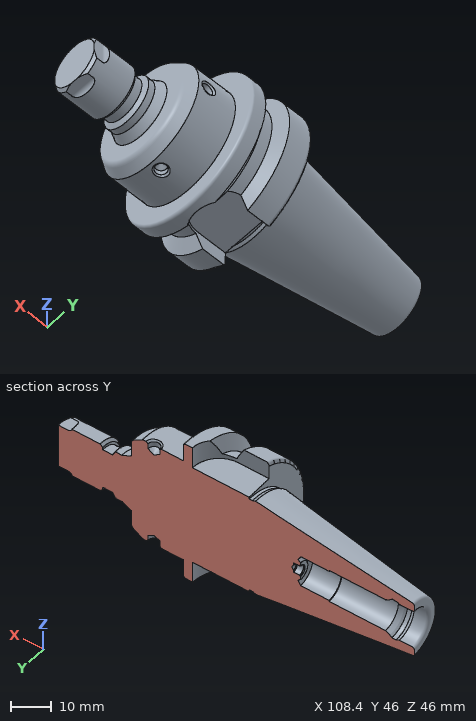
import cadquery as cq
import math

total_length = 108.4

taper_ratio = 7 / 24
taper_end_x = 48.3
gauge_diameter = 32.0
gauge_radius = gauge_diameter / 2
taper_small_radius = gauge_radius - taper_end_x * taper_ratio / 2
small_end_fillet = 1.0

relief_x = 49.3
relief_radius = 15.6

flange_start_x = 50.3
flange_end_x = 70.5
flange_radius = 23.0
flange_fillet = 1.0
groove_floor_radius = 19.1
groove_floor_start_x = 60.2
groove_floor_end_x = 63.6
groove_wall_angle = 30.0
groove_wall_run = (flange_radius - groove_floor_radius) * math.tan(math.radians(groove_wall_angle))

slot_width = 16.0
slot_end_x = 67.5
slot_floor_spacing = 32.4
slot_count = 2
slot_floor_height = slot_floor_spacing / 2

body_radius = 17.0
body_chamfer_x = 82.7
body_round_x = 85.3
body_round_radius = 15.4
body_end_x = 86.3
body_slope = math.atan2(body_radius - body_round_radius, body_round_x - body_chamfer_x)
body_corner_round = (body_end_x - body_round_x) / (1 - math.sin(body_slope))
body_face_radius = body_round_radius - body_corner_round * math.cos(body_slope)

nut_start_x = 94.8
nut_radius = 8.0
nut_back_chamfer = 0.8
nut_front_chamfer = 0.9
flat_distance = 7.0
flat_tangent_x = 105.6
flat_runout_radius = 1.5
flat_count = 4

cone_large_radius = 9.4
collar_start_x = 89.0
collar_end_x = 91.1
collar_radius = nut_radius
neck_start_x = 91.9
neck_radius = 6.5

screw_hole_x = 79.3
screw_hole_radius = 1.7
screw_mouth_radius = 2.3
screw_hole_depth = 2.2
screw_hole_count = 4
drill_point_angle = 118.0

mouth_diameter = 12.0
mouth_radius = mouth_diameter / 2
mouth_fillet = 1.0
relief_groove_radius = 6.5
relief_groove_start_x = 4.7
relief_groove_slope_end_x = 5.6
relief_groove_floor_end_x = 6.9
relief_groove_end_x = 7.5
thread_start_x = 8.9
thread_radius = 5.2
thread_end_x = 26.0
pilot_radius = 4.9
pilot_end_x = 34.7

plug_diameter = 7.3
plug_radius = plug_diameter / 2
plug_face_diameter = 5.7
plug_face_radius = plug_face_diameter / 2
socket_mouth_radius = 1.7
socket_mouth_depth = 0.3
socket_radius = 1.5
socket_depth = 2.2
socket_tip_radius = 0.9


def drill_point_height(radius):
    return radius / math.tan(math.radians(drill_point_angle / 2))


def turned_body():
    profile = (
        cq.Workplane("XY")
        .lineTo(0, taper_small_radius)
        .lineTo(taper_end_x, gauge_radius)
        .lineTo(relief_x, relief_radius)
        .lineTo(flange_start_x, relief_radius)
        .lineTo(flange_start_x, flange_radius)
        .lineTo(groove_floor_start_x - groove_wall_run, flange_radius)
        .lineTo(groove_floor_start_x, groove_floor_radius)
        .lineTo(groove_floor_end_x, groove_floor_radius)
        .lineTo(groove_floor_end_x + groove_wall_run, flange_radius)
        .lineTo(flange_end_x, flange_radius)
        .lineTo(flange_end_x, body_radius)
        .lineTo(body_chamfer_x, body_radius)
        .lineTo(body_round_x, body_round_radius)
        .tangentArcPoint((body_end_x, body_face_radius), relative=False)
        .lineTo(body_end_x, cone_large_radius)
        .lineTo(collar_start_x, collar_radius)
        .lineTo(collar_end_x, collar_radius)
        .lineTo(neck_start_x, neck_radius)
        .lineTo(nut_start_x, neck_radius)
        .lineTo(nut_start_x, nut_radius - nut_back_chamfer)
        .lineTo(nut_start_x + nut_back_chamfer, nut_radius)
        .lineTo(total_length - nut_front_chamfer, nut_radius)
        .lineTo(total_length, nut_radius - nut_front_chamfer)
        .lineTo(total_length, 0)
        .close()
    )
    body = profile.revolve(360, (0, 0, 0), (1, 0, 0))
    body = fillet_rim(body, 0, taper_small_radius, small_end_fillet)
    body = fillet_rim(body, flange_start_x, flange_radius, flange_fillet)
    return fillet_rim(body, flange_end_x, flange_radius, flange_fillet)


def fillet_rim(body, x, radius, fillet_radius):
    """Round the circular edge of the given radius that lies at x."""
    tolerance = 0.01
    rim = body.edges("%CIRCLE").filter(
        lambda edge: abs(edge.Center().x - x) < tolerance and abs(edge.radius() - radius) < tolerance
    )
    return rim.fillet(fillet_radius)


def around_axis(shape, count):
    """Copies of a shape spaced evenly about the X axis."""
    copies = cq.Workplane("XY")
    for index in range(count):
        copies = copies.add(shape.rotate((0, 0, 0), (1, 0, 0), index * 360 / count))
    return copies.combine()


def drive_slots():
    reach = flange_radius - slot_floor_height
    arc_center_x = slot_end_x - slot_width / 2
    slot = (
        cq.Workplane("XY", origin=(0, 0, slot_floor_height))
        .moveTo(flange_start_x, -slot_width / 2)
        .lineTo(arc_center_x, -slot_width / 2)
        .threePointArc((slot_end_x, 0), (arc_center_x, slot_width / 2))
        .lineTo(flange_start_x, slot_width / 2)
        .close()
        .extrude(reach)
    )
    return around_axis(slot, slot_count)


def wrench_flats():
    """Side cuts on the nut, ending in a cutter radius towards the neck."""
    arc_top = flat_distance + flat_runout_radius
    arc_middle = flat_runout_radius * math.sqrt(0.5)
    cut = (
        cq.Workplane("XZ")
        .moveTo(total_length, flat_distance)
        .lineTo(flat_tangent_x, flat_distance)
        .threePointArc(
            (flat_tangent_x - arc_middle, arc_top - arc_middle),
            (flat_tangent_x - flat_runout_radius, arc_top),
        )
        .lineTo(total_length, arc_top)
        .close()
        .extrude(nut_radius, both=True)
    )
    return around_axis(cut, flat_count)


def screw_holes():
    bottom = body_radius - screw_hole_depth
    mouth_drop = screw_mouth_radius - screw_hole_radius
    hole = (
        cq.Workplane("XZ", origin=(screw_hole_x, 0, 0))
        .moveTo(0, bottom - drill_point_height(screw_hole_radius))
        .lineTo(screw_hole_radius, bottom)
        .lineTo(screw_hole_radius, body_radius - mouth_drop)
        .lineTo(screw_mouth_radius, body_radius)
        .lineTo(0, body_radius)
        .close()
        .revolve(360, (0, 0, 0), (0, 1, 0))
    )
    return around_axis(hole, screw_hole_count)


def stepped_bore():
    plug_base_x = pilot_end_x + drill_point_height(pilot_radius - plug_radius)
    plug_face_x = plug_base_x - (plug_radius - plug_face_radius)
    socket_step_x = plug_face_x + socket_mouth_depth
    socket_floor_x = plug_face_x + socket_depth
    fillet_middle = mouth_fillet * (1 - math.sqrt(0.5))
    profile = (
        cq.Workplane("XY")
        .lineTo(0, mouth_radius + mouth_fillet)
        .threePointArc((fillet_middle, mouth_radius + fillet_middle), (mouth_fillet, mouth_radius))
        .lineTo(relief_groove_start_x, mouth_radius)
        .lineTo(relief_groove_slope_end_x, relief_groove_radius)
        .lineTo(relief_groove_floor_end_x, relief_groove_radius)
        .lineTo(relief_groove_end_x, mouth_radius)
        .lineTo(thread_start_x, thread_radius)
        .lineTo(thread_end_x, thread_radius)
        .lineTo(thread_end_x, pilot_radius)
        .lineTo(pilot_end_x, pilot_radius)
        .lineTo(plug_base_x, plug_radius)
        .lineTo(plug_face_x, plug_face_radius)
        .lineTo(plug_face_x, socket_mouth_radius)
        .lineTo(socket_step_x, socket_mouth_radius)
        .lineTo(socket_step_x, socket_radius)
        .lineTo(socket_floor_x, socket_radius)
        .lineTo(socket_floor_x, socket_tip_radius)
        .lineTo(socket_floor_x + drill_point_height(socket_tip_radius), 0)
        .close()
    )
    return profile.revolve(360, (0, 0, 0), (1, 0, 0))


result = (
    turned_body()
    .cut(drive_slots())
    .cut(wrench_flats())
    .cut(screw_holes())
    .cut(stepped_bore())
)